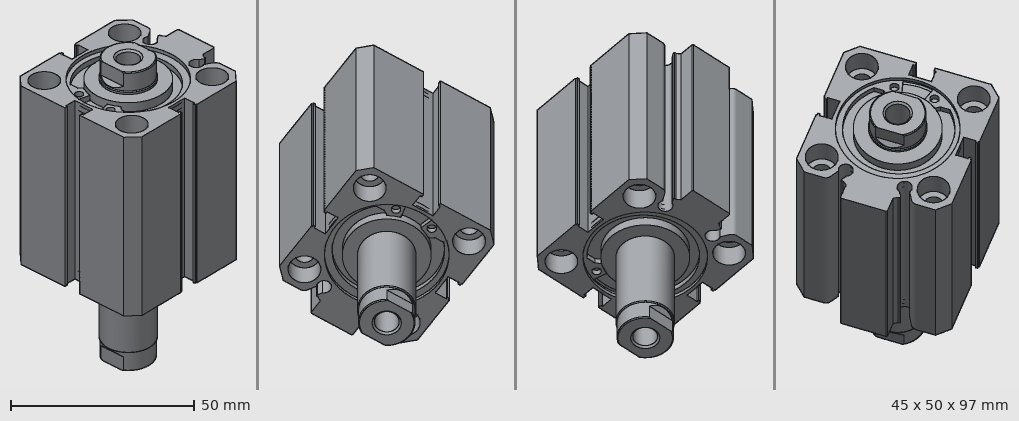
import cadquery as cq
import math


housing_height = 58.0
half_side = 22.5
corner_chamfer = 3.5
tab_top = 27.45
tab_half_width = 6.8
tab_chamfer = 0.3
bolt_offset = 16.2
bolt_hole_radius = 2.6
bolt_head_radius = 4.5
bolt_head_depth = 7.0

sensor_x = 8.5
sensor_y = 18.1
sensor_radius = 2.0
channel_angle = math.radians(60)
channel_outer_offset = 1.1
channel_lip_fillet = 1.9
tab_root_y = 22.7
barb_shoulder_x = 8.0
barb_x = 8.5
barb_top_y = 21.9
barb_bottom_y = 21.3
barb_root_x = 7.7
barb_root_y = 19.9

bore_radius = 17.0
ring_groove_depth = 0.8
ring_inset = 1.2
ring_thickness = 1.7

slot_wall = 0.95
side_slot_half_width = 3.2
side_nub_half_gap = 2.6
side_nub_start = 0.3
side_nub_end = 1.0
front_slot_half_width = 3.3
front_lip_half_gap = 2.7
front_lip_depth = 1.0

cover_thickness = 7.8
boss_radius = 12.1

ring_opening_radius = 15.3
ring_opening_offset = 0.8
lug_inner_radius = 12.4
lug_base_y = 11.4
lug_base_x = 8.2
lug_peak_x = 6.9
lug_peak_y = 10.5
ring_gap_half_angle = math.radians(15)
lug_hole_x = 5.8
lug_hole_y = 13.5
lug_hole_radius = 1.3

rod_length = 97.0
rod_top_extension = 7.0
rod_diameter = 16.0
rod_end_diameter = 15.4
rod_end_length = 6.0
rod_shoulder_chamfer = 0.3
rod_tip_chamfer = 0.3
flat_half_width = 6.5
flat_length = 4.6
thread_radius = 3.4
thread_depth = 13.0
thread_chamfer = 0.6
drill_point_angle = math.radians(118)

rod_radius = rod_diameter / 2
rod_end_radius = rod_end_diameter / 2
slot_floor = bore_radius + slot_wall
ring_radius = bore_radius + ring_groove_depth
ring_base_z = housing_height - ring_inset - ring_thickness
cover_base_z = ring_base_z - cover_thickness
mid_plane_z = housing_height / 2


def mirrored_to_bottom(body):
    """The copy of a top-end body at the bottom end of the housing."""
    return body.mirror("XY", (0, 0, mid_plane_z))


def cylinder(radius, z_bottom, z_top, x=0.0, y=0.0):
    """An upright cylinder between two heights."""
    return cq.Workplane("XY", origin=(x, y, z_bottom)).circle(radius).extrude(z_top - z_bottom)


def housing_blank():
    """Chamfered square with the tab and the tilted channels, extruded over the full height."""
    wall_x = sensor_x + channel_outer_offset * math.sin(channel_angle)
    wall_y = sensor_y - channel_outer_offset * math.cos(channel_angle)
    lip_x = wall_x + (half_side - wall_y) / math.tan(channel_angle)
    corner = half_side - corner_chamfer
    half_outline = [
        (0, tab_top),
        (tab_half_width - tab_chamfer, tab_top),
        (tab_half_width, tab_top - tab_chamfer),
        (tab_half_width, tab_root_y),
        (barb_shoulder_x, barb_top_y),
        (barb_x, barb_top_y),
        (barb_x, barb_bottom_y),
        (barb_root_x, barb_root_y),
        (barb_root_x, sensor_y),
        (sensor_x, sensor_y),
        (wall_x, wall_y),
        (lip_x, half_side),
        (corner, half_side),
        (half_side, corner),
        (half_side, -corner),
        (corner, -half_side),
        (0, -half_side),
    ]
    blank = cq.Workplane("XY").polyline(half_outline).mirrorY().extrude(housing_height)
    for side in (-1, 1):
        lip = cq.selectors.NearestToPointSelector((side * lip_x, half_side, mid_plane_z))
        blank = blank.edges(lip).fillet(channel_lip_fillet)
    return blank


def side_slot():
    """Cutter for the slot in the +X side, with a small nub on each wall near the mouth."""
    half_outline = [
        (slot_floor, 0),
        (slot_floor, side_slot_half_width),
        (half_side - side_nub_end, side_slot_half_width),
        (half_side - side_nub_end, side_nub_half_gap),
        (half_side - side_nub_start, side_nub_half_gap),
        (half_side - side_nub_start, side_slot_half_width),
        (half_side, side_slot_half_width),
        (half_side, 0),
    ]
    return cq.Workplane("XY").polyline(half_outline).mirrorX().extrude(housing_height)


def front_slot():
    """Cutter for the T-slot in the -Y side."""
    half_outline = [
        (0, -slot_floor),
        (front_slot_half_width, -slot_floor),
        (front_slot_half_width, -half_side + front_lip_depth),
        (front_lip_half_gap, -half_side + front_lip_depth),
        (front_lip_half_gap, -half_side),
        (0, -half_side),
    ]
    return cq.Workplane("XY").polyline(half_outline).mirrorY().extrude(housing_height)


def bolt_holes():
    """Cutter for the corner bolt holes, counterbored at both ends."""
    corners = cq.Workplane("XY").rect(2 * bolt_offset, 2 * bolt_offset, forConstruction=True)
    shafts = corners.vertices().circle(bolt_hole_radius).extrude(housing_height)
    head_seats = corners.vertices().circle(bolt_head_radius).extrude(bolt_head_depth)
    return shafts.union(head_seats).union(mirrored_to_bottom(head_seats))


def make_housing():
    ring_groove = cylinder(ring_radius, ring_base_z, ring_base_z + ring_thickness)
    body = housing_blank()
    for side in (-1, 1):
        body = body.cut(cylinder(sensor_radius, 0, housing_height, side * sensor_x, sensor_y))
    body = body.cut(side_slot()).cut(side_slot().mirror("YZ")).cut(front_slot())
    body = body.cut(bolt_holes()).cut(cylinder(bore_radius, 0, housing_height))
    return body.cut(ring_groove).cut(mirrored_to_bottom(ring_groove))


def make_top_cover():
    """Disc under the retaining ring, with a boss that ends flush with the housing."""
    disc = cylinder(bore_radius, cover_base_z, ring_base_z)
    boss = cylinder(boss_radius, ring_base_z, housing_height)
    return disc.union(boss).cut(cylinder(rod_radius, cover_base_z, housing_height))


def make_top_ring():
    """Internal retaining ring, open towards -Y, with a plier hole in each lug."""
    ring_top_z = ring_base_z + ring_thickness
    base = cq.Workplane("XY", origin=(0, 0, ring_base_z))
    above_lugs = [
        (0, ring_radius),
        (ring_radius, ring_radius),
        (ring_radius, -lug_base_y),
        (lug_base_x, -lug_base_y),
        (lug_peak_x, -lug_peak_y),
        (0, -lug_peak_y),
    ]
    opening = cylinder(ring_opening_radius, ring_base_z, ring_top_z, 0, -ring_opening_offset)
    opening = opening.intersect(base.polyline(above_lugs).mirrorY().extrude(ring_thickness))
    gap_depth = 2 * ring_radius
    gap_half_width = gap_depth * math.tan(ring_gap_half_angle)
    gap_outline = [(0, 0), (gap_half_width, -gap_depth), (-gap_half_width, -gap_depth)]
    gap = base.polyline(gap_outline).close().extrude(ring_thickness)
    ring = cylinder(ring_radius, ring_base_z, ring_top_z).cut(opening).cut(gap)
    ring = ring.cut(cylinder(lug_inner_radius, ring_base_z, ring_top_z))
    for side in (-1, 1):
        ring = ring.cut(cylinder(lug_hole_radius, ring_base_z, ring_top_z, side * lug_hole_x, -lug_hole_y))
    return ring


def threaded_hole(tip_z):
    """Cutter for the drilled hole in the rod end, with a chamfered mouth and a drill point."""
    full_depth_z = tip_z - thread_depth
    point_z = full_depth_z - thread_radius / math.tan(drill_point_angle / 2)
    outline = [
        (0, tip_z),
        (thread_radius + thread_chamfer, tip_z),
        (thread_radius, tip_z - thread_chamfer),
        (thread_radius, full_depth_z),
        (0, point_z),
    ]
    return cq.Workplane("XZ").polyline(outline).close().revolve(360, (0, 0, 0), (0, 1, 0))


def wrench_flat(tip_z):
    """Cutter for the +Y wrench flat, running out at 45 degrees towards the shoulder."""
    run_out = rod_radius - flat_half_width
    outline = [
        (flat_half_width, tip_z),
        (flat_half_width, tip_z - flat_length),
        (flat_half_width + run_out, tip_z - flat_length - run_out),
        (flat_half_width + run_out, tip_z),
    ]
    return cq.Workplane("YZ").polyline(outline).close().extrude(rod_radius, both=True)


def make_rod():
    """Rod that is the same at both ends; built as an upper half and mirrored."""
    tip_z = rod_length / 2
    shoulder_z = tip_z - rod_end_length
    half_outline = [
        (0, 0),
        (rod_radius, 0),
        (rod_radius, shoulder_z - rod_shoulder_chamfer),
        (rod_end_radius, shoulder_z),
        (rod_end_radius, tip_z - rod_tip_chamfer),
        (rod_end_radius - rod_tip_chamfer, tip_z),
        (0, tip_z),
    ]
    half = cq.Workplane("XZ").polyline(half_outline).close().revolve(360, (0, 0, 0), (0, 1, 0))
    half = half.cut(threaded_hole(tip_z))
    half = half.cut(wrench_flat(tip_z)).cut(wrench_flat(tip_z).mirror("XZ"))
    rod = half.union(half.mirror("XY"))
    return rod.translate((0, 0, housing_height + rod_top_extension - tip_z))


housing = make_housing()
rod = make_rod()
covers = []
rings = []
for at_bottom in (False, True):
    cover = make_top_cover()
    ring = make_top_ring()
    if at_bottom:
        cover = mirrored_to_bottom(cover)
        ring = mirrored_to_bottom(ring)
    covers.append(cover.val())
    rings.append(ring.val())

result = cq.Compound.makeCompound([housing.val(), rod.val(), *covers, *rings])